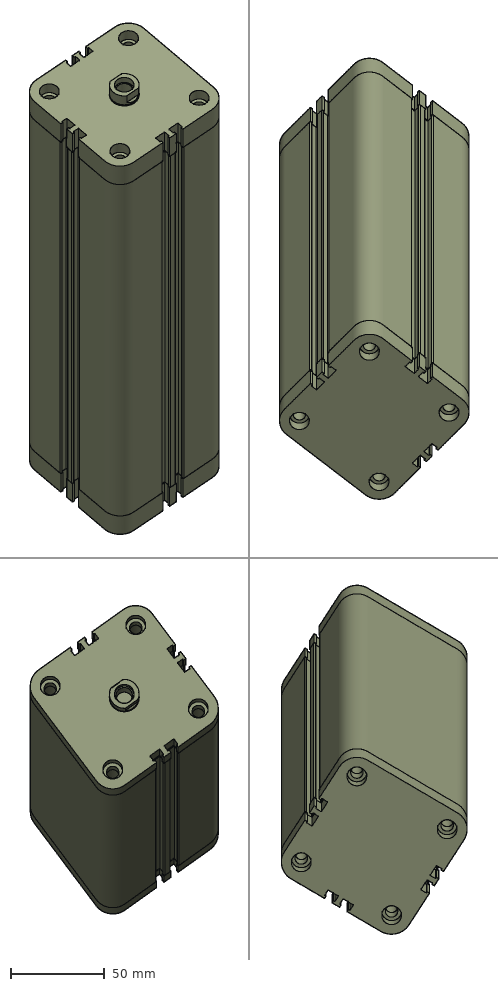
import cadquery as cq

width = 78.0
corner_radius = 11.0
cap_height = 15.0
barrel_length = 269.0
barrel_top = cap_height + barrel_length

screw_spacing = 56.5
screw_hole_diameter = 6.6
head_recess_diameter = 10.5
head_recess_depth = 7.0

slot_offset = 4.7
slot_mouth_width = 4.7
slot_inner_width = 6.4
cap_slot_depth = 5.0
cap_lip_depth = 1.5
barrel_slot_depth = 4.5
barrel_lip_depth = 1.0
barrel_mouth_chamfer = 0.75
slot_sides = (0, 90, -90)

rod_diameter = 16.0
rod_projection = 8.0
rod_length = cap_height + rod_projection
head_diameter = 15.8
collar_projection = 0.8
flat_spacing = 13.5
flat_height = 5.3
flat_runout = (head_diameter - flat_spacing) / 2
thread_bore_diameter = 8.7
thread_bore_depth = 15.0
entry_bore_diameter = 10.3
entry_bore_depth = 4.0


def slot_cutter(offset, height, slot_depth, lip_depth, chamfer):
    """T-slot prism for the -Y face, with optional bevels along its mouth."""
    face = -width / 2
    half_mouth = slot_mouth_width / 2
    half_inner = slot_inner_width / 2
    lip = face + lip_depth
    floor = face + slot_depth
    profile = [
        (-half_mouth, face + chamfer),
        (-half_mouth, lip),
        (-half_inner, lip),
        (-half_inner, floor),
        (half_inner, floor),
        (half_inner, lip),
        (half_mouth, lip),
        (half_mouth, face + chamfer),
    ]
    if chamfer:
        profile.append((half_mouth + chamfer, face))
        profile.append((-half_mouth - chamfer, face))
    points = [(x + offset, y) for x, y in profile]
    return cq.Workplane("XY").polyline(points).close().extrude(height)


def profile_block(height, slot_depth, lip_depth, chamfer=0.0):
    """Rounded square block with slots and through screw holes, base at Z = 0."""
    block = cq.Workplane("XY").rect(width, width).extrude(height)
    block = block.edges("|Z").fillet(corner_radius)
    for angle in slot_sides:
        for offset in (-slot_offset, slot_offset):
            cutter = slot_cutter(offset, height, slot_depth, lip_depth, chamfer)
            block = block.cut(cutter.rotate((0, 0, 0), (0, 0, 1), angle))
    screws = cq.Workplane("XY").rect(screw_spacing, screw_spacing, forConstruction=True)
    return block.cut(screws.vertices().circle(screw_hole_diameter / 2).extrude(height))


def head_recesses(bottom):
    """Four cylinders that recess the screw heads, starting at height bottom."""
    centres = cq.Workplane("XY").workplane(offset=bottom)
    centres = centres.rect(screw_spacing, screw_spacing, forConstruction=True).vertices()
    return centres.circle(head_recess_diameter / 2).extrude(head_recess_depth)


def make_bottom_cap():
    cap = profile_block(cap_height, cap_slot_depth, cap_lip_depth)
    return cap.cut(head_recesses(0))


def make_barrel():
    barrel = profile_block(barrel_length, barrel_slot_depth, barrel_lip_depth, barrel_mouth_chamfer)
    return barrel.translate((0, 0, cap_height))


def make_top_cap():
    cap = profile_block(cap_height, cap_slot_depth, cap_lip_depth)
    cap = cap.cut(head_recesses(cap_height - head_recess_depth))
    cap = cap.faces(">Z").workplane(origin=(0, 0, 0)).hole(rod_diameter)
    return cap.translate((0, 0, barrel_top))


def flat_cutter():
    """Prism that cuts the wrench flat facing +X, with a sloped run-out below it."""
    half_spacing = flat_spacing / 2
    flat_bottom = rod_length - flat_height
    profile = [
        (half_spacing, rod_length),
        (half_spacing, flat_bottom),
        (half_spacing + flat_runout, flat_bottom - flat_runout),
        (rod_diameter, flat_bottom - flat_runout),
        (rod_diameter, rod_length),
    ]
    return cq.Workplane("XZ").polyline(profile).close().extrude(rod_diameter, both=True)


def make_rod():
    """Rod with a slightly slimmer head, two wrench flats and a stepped blind bore."""
    collar_length = cap_height + collar_projection
    rod = cq.Workplane("XY").circle(rod_diameter / 2).extrude(collar_length)
    head = cq.Workplane("XY").workplane(offset=collar_length).circle(head_diameter / 2)
    rod = rod.union(head.extrude(rod_length - collar_length))
    for angle in (0, 180):
        rod = rod.cut(flat_cutter().rotate((0, 0, 0), (0, 0, 1), angle))
    rod = rod.faces(">Z").workplane(origin=(0, 0, 0))
    rod = rod.cboreHole(thread_bore_diameter, entry_bore_diameter, entry_bore_depth, thread_bore_depth)
    return rod.translate((0, 0, barrel_top))


bottom_cap = make_bottom_cap()
barrel = make_barrel()
top_cap = make_top_cap()
rod = make_rod()

result = cq.Compound.makeCompound([bottom_cap.val(), barrel.val(), top_cap.val(), rod.val()])